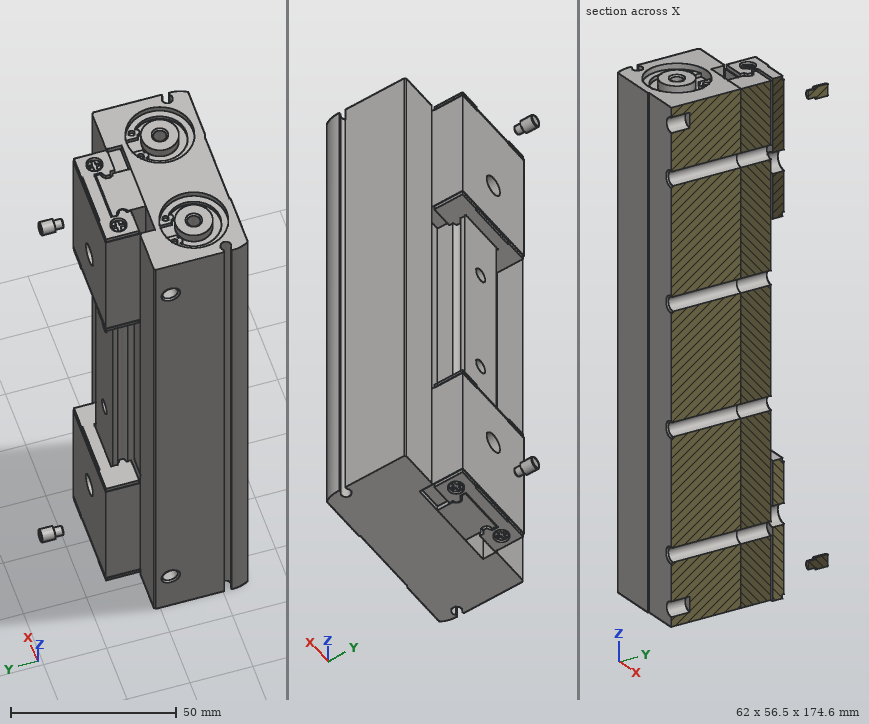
import cadquery as cq
import math

LENGTH = 174.6
CARRIAGE_OVERHANG = 0.5
HALF_LENGTH = LENGTH / 2 - CARRIAGE_OVERHANG
SIDES = (-1, 1)
X_AXIS = cq.Vector(1, 0, 0)
Y_AXIS = cq.Vector(0, 1, 0)
DOWN = cq.Vector(0, 0, -1)

HOUSING_HALF_WIDTH = 62.0 / 2
HOUSING_HEIGHT = 30.2
TOP_CHAMFER = 0.5
CORNER_ARC = [(29.5, 0.0), (30.5, 2.3), (HOUSING_HALF_WIDTH, 5.0)]
CHANNEL_HALF_WIDTH = 16.5
CHANNEL_FLOOR = 25.3
RECESS_MOUTH_HALF = 12.5
RECESS_FLOOR_HALF = 12.2
RECESS_DEPTH = 0.3
SENSOR_SLOT_Y = 6.8
SENSOR_SLOT_MOUTH = 2.3
SENSOR_SLOT_DIAMETER = 3.3
SENSOR_SLOT_DEPTH = 3.7

BOLT_HOLE_DIAMETER = 4.7
BOLT_PITCH = 41.9
BOLT_COUNT = 4
BOLT_Z = [(i - (BOLT_COUNT - 1) / 2) * BOLT_PITCH for i in range(BOLT_COUNT)]
RIM_CHAMFER = 0.5
DOWEL_HOLE_DIAMETER = 5.0
DOWEL_HOLE_DEPTH = 7.0
DOWEL_HOLE_Z = 80.8
PORT_DIAMETER = 4.9
PORT_DEPTH = 6.1
PORT_Y = 25.0
PORT_Z = 72.1
DRILL_TIP_ANGLE = 118.0

BORE_X = 16.8
BORE_Y = 13.1
BORE_RADIUS = 21.0 / 2
BORE_DEPTH = 3.1
HUB_RADIUS = 11.5 / 2
HUB_HOLE_DIAMETER = 4.0
HUB_HOLE_DEPTH = 7.0
RING_SETBACK = 2.0
RING_THICKNESS = BORE_DEPTH - RING_SETBACK
RING_INNER_RADIUS = 16.8 / 2
RING_GAP = 4.9
LUG_X = 4.5
LUG_SHOULDER_Y = 6.1
LUG_TIP_RADIUS = 1.0
LUG_HOLE_Y = 7.5
LUG_HOLE_DIAMETER = 2.0

RAIL_TOP = 36.1
RAIL_HEAD_HALF = 8.2
RAIL_WAIST_HALF = 6.1
RAIL_FOOT_HALF = 7.3
RAIL_GROOVE_TOP = 34.5
RAIL_GROOVE_BOTTOM = 31.0

CARRIAGE_LENGTH = 47.0
CARRIAGE_HALF_LENGTH = CARRIAGE_LENGTH / 2
CARRIAGE_CENTER_Z = LENGTH / 2 - CARRIAGE_HALF_LENGTH
CARRIAGE_HALF_WIDTH = 16.0
CARRIAGE_TOP = 40.9
CARRIAGE_BOTTOM = 29.9
CARRIAGE_CEILING = 36.7
CEILING_HALF_WIDTH = 8.4
LEG_INNER_HALF = 8.0
NOSE_HALF = 6.8
NOSE_TOP = 34.5
NOSE_TIP_TOP = 33.5
NOSE_TIP_BOTTOM = 32.1
NOSE_BOTTOM = 31.6
END_PLATE = 1.4
END_PLATE_SIDE_INSET = 0.2
END_PLATE_BOTTOM_INSET = 0.3
END_NOTCH_DEPTH = 0.5
BLOCK_HALF_LENGTH = CARRIAGE_HALF_LENGTH - END_PLATE
SKIRT_BOTTOM = 25.8
SCREW_X = 11.9
SCREW_Y = 35.5
SCREW_RADIUS = 5.0 / 2
SCREW_FLOOR_RADIUS = 4.2 / 2
SCREW_RECESS = 0.5
CROSS_WIDTH = 1.0
CROSS_LENGTH = 4.0
CROSS_DEPTH = 1.0
WINDOW_RADIUS = 7.0 / 2
WINDOW_Z = 59.0

STOP_TOP = 29.2
STOP_INNER_X = -7.9
STOP_OUTER_X = -16.0
STOP_HALF_LENGTH = LENGTH / 2 - CARRIAGE_LENGTH

PIN_TOP = 56.5
PIN_Z = 78.5
PIN_HEAD_RADIUS = 4.2 / 2
PIN_HEAD_LENGTH = 4.4
PIN_TAIL_RADIUS = 3.0 / 2
PIN_TAIL_LENGTH = 2.8
PIN_CHAMFER = 0.26


def box(x_range, y_range, z_range):
    """Box between two limits on each axis."""
    (x0, x1), (y0, y1), (z0, z1) = x_range, y_range, z_range
    return cq.Workplane("XY").box(x1 - x0, y1 - y0, z1 - z0, centered=False).translate((x0, y0, z0))


def mirror_x(points):
    """The points reflected in X, in reverse order so that an outline can continue through them."""
    return [(-x, y) for x, y in reversed(points)]


def prism(half_outline, half_length):
    """Prism along Z, symmetric in X, from the +X half of its outline."""
    outline = half_outline + mirror_x(half_outline)
    return cq.Workplane("XY").polyline(outline).close().extrude(half_length, both=True)


def cylinder(radius, length, start, axis):
    return cq.Workplane(cq.Solid.makeCylinder(radius, length, cq.Vector(*start), axis))


def cone(start_radius, end_radius, length, start, axis):
    return cq.Workplane(cq.Solid.makeCone(start_radius, end_radius, length, cq.Vector(*start), axis))


def rim(diameter, start, axis):
    """Chamfer around the mouth of a hole."""
    return cone(diameter / 2 + RIM_CHAMFER, diameter / 2, RIM_CHAMFER, start, axis)


def drill(diameter, depth, start, axis):
    """Blind drilled hole with a chamfered mouth and a conical tip."""
    radius = diameter / 2
    tip_length = radius / math.tan(math.radians(DRILL_TIP_ANGLE / 2))
    tip_start = (cq.Vector(*start) + axis * depth).toTuple()
    hole = cylinder(radius, depth, start, axis).union(cone(radius, 0, tip_length, tip_start, axis))
    return hole.union(rim(diameter, start, axis))


def bolt_holes(bottom, top):
    holes = cq.Workplane("XY")
    for z in BOLT_Z:
        holes = holes.add(cylinder(BOLT_HOLE_DIAMETER / 2, top - bottom, (0, bottom, z), Y_AXIS))
    return holes.combine()


def housing_blank():
    right_side = [
        (HOUSING_HALF_WIDTH, HOUSING_HEIGHT - TOP_CHAMFER),
        (HOUSING_HALF_WIDTH - TOP_CHAMFER, HOUSING_HEIGHT),
        (CHANNEL_HALF_WIDTH + TOP_CHAMFER, HOUSING_HEIGHT),
        (CHANNEL_HALF_WIDTH, HOUSING_HEIGHT - TOP_CHAMFER),
        (CHANNEL_HALF_WIDTH, CHANNEL_FLOOR),
    ]
    start, middle, end = CORNER_ARC
    outline = cq.Workplane("XY").moveTo(*start).threePointArc(middle, end)
    for point in right_side + mirror_x(right_side):
        outline = outline.lineTo(*point)
    left_start, left_middle, left_end = mirror_x(CORNER_ARC)
    outline = outline.lineTo(*left_start).threePointArc(left_middle, left_end)
    return outline.close().extrude(HALF_LENGTH, both=True)


def sensor_slot(side):
    """Round groove along the housing side, opening through a narrower mouth."""
    radius = SENSOR_SLOT_DIAMETER / 2
    center_x = HOUSING_HALF_WIDTH - SENSOR_SLOT_DEPTH + radius
    mouth_depth = HOUSING_HALF_WIDTH - center_x
    groove = cq.Workplane("XY").center(side * center_x, SENSOR_SLOT_Y).circle(radius)
    groove = groove.extrude(HALF_LENGTH, both=True)
    mouth = cq.Workplane("XY").center(side * (center_x + mouth_depth / 2), SENSOR_SLOT_Y)
    mouth = mouth.rect(mouth_depth, SENSOR_SLOT_MOUTH).extrude(HALF_LENGTH, both=True)
    return groove.union(mouth)


def retaining_ring():
    """Open ring with two eyed lugs beside its gap, centred on the bore axis."""
    thickness = (0, RING_THICKNESS)
    gap_half = RING_GAP / 2
    lug_half = LUG_X - gap_half
    disc = cq.Workplane("XY").circle(BORE_RADIUS).extrude(RING_THICKNESS)
    ring = disc.cut(cq.Workplane("XY").circle(RING_INNER_RADIUS).extrude(RING_THICKNESS))
    for side in SIDES:
        x = side * LUG_X
        lug = box((x - lug_half, x + lug_half), (LUG_SHOULDER_Y, BORE_RADIUS), thickness)
        tip = cq.Workplane("XY").center(x, LUG_SHOULDER_Y).circle(LUG_TIP_RADIUS).extrude(RING_THICKNESS)
        ring = ring.union(lug.union(tip).intersect(disc))
    ring = ring.cut(box((-gap_half, gap_half), (LUG_SHOULDER_Y, BORE_RADIUS), thickness))
    eyes = cq.Workplane("XY").pushPoints([(side * LUG_X, LUG_HOLE_Y) for side in SIDES])
    return ring.cut(eyes.circle(LUG_HOLE_DIAMETER / 2).extrude(RING_THICKNESS))


def add_cylinder_end(housing, x):
    """Bore with a central drilled hub and a retaining ring, in the top end of the housing."""
    top = (x, BORE_Y, HALF_LENGTH)
    bore = cylinder(BORE_RADIUS, BORE_DEPTH, top, DOWN).cut(cylinder(HUB_RADIUS, BORE_DEPTH, top, DOWN))
    ring = retaining_ring().translate((x, BORE_Y, HALF_LENGTH - BORE_DEPTH))
    return housing.cut(bore).union(ring).cut(drill(HUB_HOLE_DIAMETER, HUB_HOLE_DEPTH, top, DOWN))


def make_housing():
    housing = housing_blank()
    housing = housing.cut(prism([(RECESS_MOUTH_HALF, 0), (RECESS_FLOOR_HALF, RECESS_DEPTH)], HALF_LENGTH))
    housing = housing.cut(bolt_holes(0, CHANNEL_FLOOR))
    for z in BOLT_Z:
        housing = housing.cut(rim(BOLT_HOLE_DIAMETER, (0, RECESS_DEPTH, z), Y_AXIS))
    for side in SIDES:
        housing = housing.cut(sensor_slot(side))
        port_start = (-HOUSING_HALF_WIDTH, PORT_Y, side * PORT_Z)
        housing = housing.cut(drill(PORT_DIAMETER, PORT_DEPTH, port_start, X_AXIS))
        dowel_start = (0, 0, side * DOWEL_HOLE_Z)
        housing = housing.cut(cylinder(DOWEL_HOLE_DIAMETER / 2, DOWEL_HOLE_DEPTH, dowel_start, Y_AXIS))
        housing = add_cylinder_end(housing, side * BORE_X)
    return housing


def make_rail():
    groove_middle = (RAIL_GROOVE_TOP + RAIL_GROOVE_BOTTOM) / 2
    profile = (
        cq.Workplane("XY")
        .moveTo(-RAIL_FOOT_HALF, CHANNEL_FLOOR)
        .lineTo(RAIL_FOOT_HALF, CHANNEL_FLOOR)
        .lineTo(RAIL_FOOT_HALF, RAIL_GROOVE_BOTTOM)
        .threePointArc((RAIL_WAIST_HALF, groove_middle), (RAIL_HEAD_HALF, RAIL_GROOVE_TOP))
        .lineTo(RAIL_HEAD_HALF, RAIL_TOP)
        .lineTo(-RAIL_HEAD_HALF, RAIL_TOP)
        .lineTo(-RAIL_HEAD_HALF, RAIL_GROOVE_TOP)
        .threePointArc((-RAIL_WAIST_HALF, groove_middle), (-RAIL_FOOT_HALF, RAIL_GROOVE_BOTTOM))
        .close()
    )
    return profile.extrude(HALF_LENGTH, both=True).cut(bolt_holes(CHANNEL_FLOOR, RAIL_TOP))


def carriage_body():
    """Block with a slightly smaller plate at each end, centred on Z = 0."""
    plate_half = CARRIAGE_HALF_WIDTH - END_PLATE_SIDE_INSET
    plate_top = CARRIAGE_TOP - END_PLATE_SIDE_INSET
    plate_bottom = CARRIAGE_BOTTOM + END_PLATE_BOTTOM_INSET
    notch_floor = CARRIAGE_TOP - END_NOTCH_DEPTH
    channel = [
        (LEG_INNER_HALF, NOSE_BOTTOM),
        (NOSE_HALF, NOSE_TIP_BOTTOM),
        (NOSE_HALF, NOSE_TIP_TOP),
        (CEILING_HALF_WIDTH, NOSE_TOP),
        (CEILING_HALF_WIDTH, CARRIAGE_CEILING),
    ]
    block_side = [
        (CARRIAGE_HALF_WIDTH, CARRIAGE_TOP),
        (CARRIAGE_HALF_WIDTH, CARRIAGE_BOTTOM),
        (LEG_INNER_HALF, CARRIAGE_BOTTOM),
    ]
    plate_side = [
        (CEILING_HALF_WIDTH, notch_floor),
        (CEILING_HALF_WIDTH, plate_top),
        (plate_half, plate_top),
        (plate_half, plate_bottom),
        (LEG_INNER_HALF, plate_bottom),
    ]
    block = prism(block_side + channel, BLOCK_HALF_LENGTH)
    return block.union(prism(plate_side + channel, CARRIAGE_HALF_LENGTH))


def screw_head(side):
    """Conical recess and cross slot of an end-plate screw."""
    x, end_z = side * SCREW_X, CARRIAGE_HALF_LENGTH
    plane = cq.Workplane("XY").workplane(offset=end_z).center(x, SCREW_Y)
    recess = cone(SCREW_RADIUS, SCREW_FLOOR_RADIUS, SCREW_RECESS, (x, SCREW_Y, end_z), DOWN)
    recess = recess.union(plane.rect(CROSS_LENGTH, CROSS_WIDTH).extrude(-CROSS_DEPTH))
    return recess.union(plane.rect(CROSS_WIDTH, CROSS_LENGTH).extrude(-CROSS_DEPTH))


def make_carriage():
    """Upper carriage; the lower one is its mirror image."""
    skirt = box(
        (LEG_INNER_HALF, CARRIAGE_HALF_WIDTH),
        (SKIRT_BOTTOM, CARRIAGE_BOTTOM),
        (-BLOCK_HALF_LENGTH, BLOCK_HALF_LENGTH),
    )
    carriage = carriage_body().union(skirt)
    for side in SIDES:
        carriage = carriage.cut(screw_head(side))
    carriage = carriage.translate((0, 0, CARRIAGE_CENTER_Z))
    window_depth = CARRIAGE_TOP - CARRIAGE_CEILING
    return carriage.cut(cylinder(WINDOW_RADIUS, window_depth, (0, CARRIAGE_CEILING, WINDOW_Z), Y_AXIS))


def make_stop():
    return box(
        (STOP_OUTER_X, STOP_INNER_X),
        (CHANNEL_FLOOR, STOP_TOP),
        (-STOP_HALF_LENGTH, STOP_HALF_LENGTH),
    )


def make_pin(z):
    """Stepped pin along Y with chamfered ends."""
    shoulder = PIN_TOP - PIN_HEAD_LENGTH
    bottom = shoulder - PIN_TAIL_LENGTH
    half_profile = [
        (0, bottom),
        (PIN_TAIL_RADIUS - PIN_CHAMFER, bottom),
        (PIN_TAIL_RADIUS, bottom + PIN_CHAMFER),
        (PIN_TAIL_RADIUS, shoulder),
        (PIN_HEAD_RADIUS, shoulder),
        (PIN_HEAD_RADIUS, PIN_TOP - PIN_CHAMFER),
        (PIN_HEAD_RADIUS - PIN_CHAMFER, PIN_TOP),
        (0, PIN_TOP),
    ]
    pin = cq.Workplane("XY").polyline(half_profile).close().revolve(360, (0, 0, 0), (0, 1, 0))
    return pin.translate((0, 0, z))


housing = make_housing()
rail = make_rail()
upper_carriage = make_carriage()
lower_carriage = upper_carriage.mirror("XY")
stop = make_stop()
pins = [make_pin(side * PIN_Z) for side in SIDES]

result = cq.Compound.makeCompound([
    housing.val(),
    rail.val(),
    upper_carriage.val(),
    lower_carriage.val(),
    stop.val(),
    *[pin.val() for pin in pins],
])